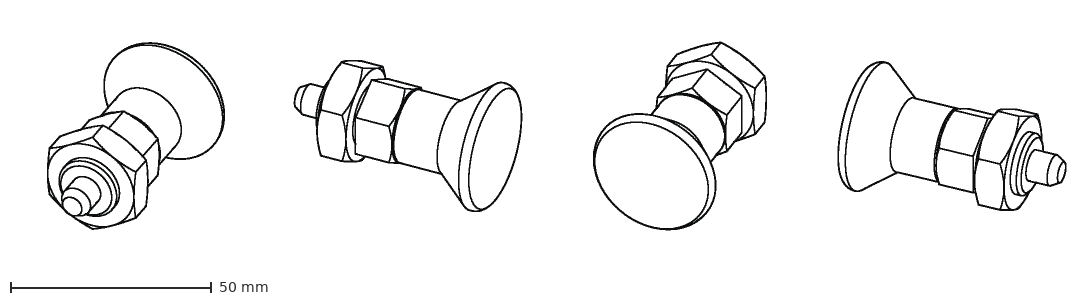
import cadquery as cq
import math

total_length = 54.0

pin_diameter = 8.0
pin_tip_diameter = 5.4
pin_tip_length = 2.25
pin_length = 8.0

shank_diameter = 16.0
shank_chamfer = 0.9
shank_end = 20.0

nut_flats = 24.0
nut_start = 10.55
nut_width = 8.0

body_flats = 19.0
body_end = 30.0

hex_half_angle = 30.0
chamfer_angle = 30.0

sleeve_diameter = body_flats
sleeve_chamfer = 0.5
sleeve_end = 42.45
knob_diameter = 33.0
rim_width = 2.4
rim_round_length = 2.0
rim_round_inset = 0.95

rim_start = total_length - rim_width


def turned(profile):
    """Revolve a closed XY profile about the Y axis."""
    return profile.close().revolve(360, (0, 0, 0), (0, 1, 0))


def make_pin_and_shank():
    pin_radius = pin_diameter / 2
    shank_radius = shank_diameter / 2
    return turned(
        cq.Workplane("XY")
        .moveTo(0, 0)
        .lineTo(pin_tip_diameter / 2, 0)
        .lineTo(pin_radius, pin_tip_length)
        .lineTo(pin_radius, pin_length)
        .lineTo(shank_radius - shank_chamfer, pin_length)
        .lineTo(shank_radius, pin_length + shank_chamfer)
        .lineTo(shank_radius, shank_end)
        .lineTo(0, shank_end)
    )


def make_hexagon(flats, start, end, chamfer_start):
    """Hexagonal prism along Y, flats facing X, corners coned at the end and optionally the start."""
    flat_radius = flats / 2
    corner_radius = flat_radius / math.cos(math.radians(hex_half_angle))
    cone_length = (corner_radius - flat_radius) * math.tan(math.radians(chamfer_angle))
    prism = (
        cq.Workplane("XZ", origin=(0, start, 0))
        .polygon(6, 2 * corner_radius)
        .extrude(start - end)
        .rotate((0, 0, 0), (0, 1, 0), hex_half_angle)
    )
    envelope = cq.Workplane("XY").moveTo(0, start)
    if chamfer_start:
        envelope = envelope.lineTo(flat_radius, start).lineTo(corner_radius, start + cone_length)
    else:
        envelope = envelope.lineTo(corner_radius, start)
    envelope = (
        envelope.lineTo(corner_radius, end - cone_length)
        .lineTo(flat_radius, end)
        .lineTo(0, end)
    )
    return prism.intersect(turned(envelope))


def make_knob():
    """Sleeve chamfered at its base and flared head with a rounded rim."""
    sleeve_radius = sleeve_diameter / 2
    knob_radius = knob_diameter / 2
    return turned(
        cq.Workplane("XY")
        .moveTo(0, body_end)
        .lineTo(sleeve_radius - sleeve_chamfer, body_end)
        .lineTo(sleeve_radius, body_end + sleeve_chamfer)
        .lineTo(sleeve_radius, sleeve_end)
        .lineTo(knob_radius, rim_start)
        .lineTo(knob_radius, total_length - rim_round_length)
        .tangentArcPoint((knob_radius - rim_round_inset, total_length), relative=False)
        .lineTo(0, total_length)
    )


nut = make_hexagon(nut_flats, nut_start, nut_start + nut_width, chamfer_start=True)
body = make_hexagon(body_flats, shank_end, body_end, chamfer_start=False)

part = make_pin_and_shank().union(nut).union(body).union(make_knob())
result = part.translate((0, -total_length / 2, 0))